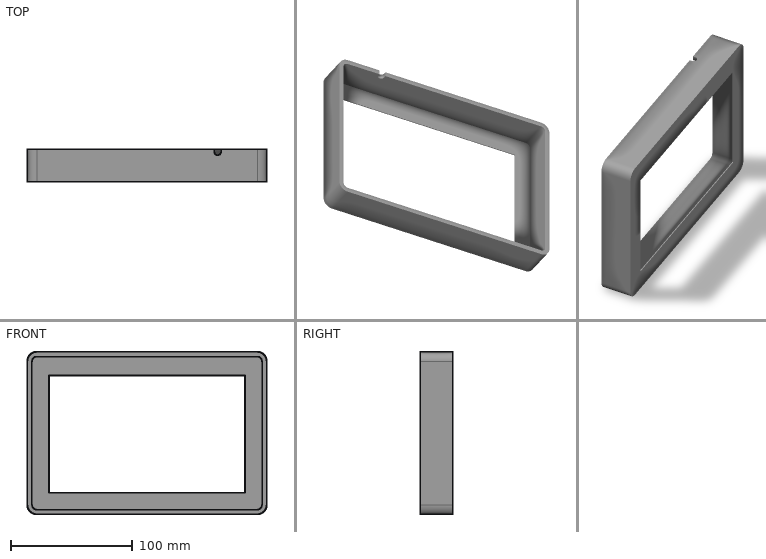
import cadquery as cq

width = 197.7
depth = 27.0
height = 134.2
corner_radius = 8.0

side_border = 18.0
top_border = 19.8
bottom_border = 18.0
lip_thickness = 0.8

wall = 4.0
cavity_radius = 4.0

notch_width = 5.5
notch_depth = 5.0
notch_x = 58.3

front_y = -depth / 2
back_y = depth / 2


def upright_block(size_x, size_z, start_y, end_y, center_z=0.0):
    """Block centred in X that runs from start_y to end_y."""
    length_y = end_y - start_y
    return cq.Workplane("XY").box(size_x, length_y, size_z).translate((0, start_y + length_y / 2, center_z))


def make_notch():
    """Slot cutter passing down through the top wall into the cavity."""
    radius = notch_width / 2
    arc_center_y = back_y - notch_depth + radius
    return (
        cq.Workplane("XY", origin=(notch_x, 0, height / 2 - wall))
        .moveTo(-radius, back_y)
        .lineTo(-radius, arc_center_y)
        .threePointArc((0, back_y - notch_depth), (radius, arc_center_y))
        .lineTo(radius, back_y)
        .close()
        .extrude(wall)
    )


frame = upright_block(width, height, front_y, back_y).edges("|Y").fillet(corner_radius)

window = upright_block(
    width - 2 * side_border,
    height - top_border - bottom_border,
    front_y,
    back_y,
    center_z=(bottom_border - top_border) / 2,
)

cavity = (
    upright_block(width - 2 * wall, height - 2 * wall, front_y + lip_thickness, back_y)
    .edges("|Y")
    .fillet(cavity_radius)
)

result = frame.cut(window).cut(cavity).cut(make_notch())